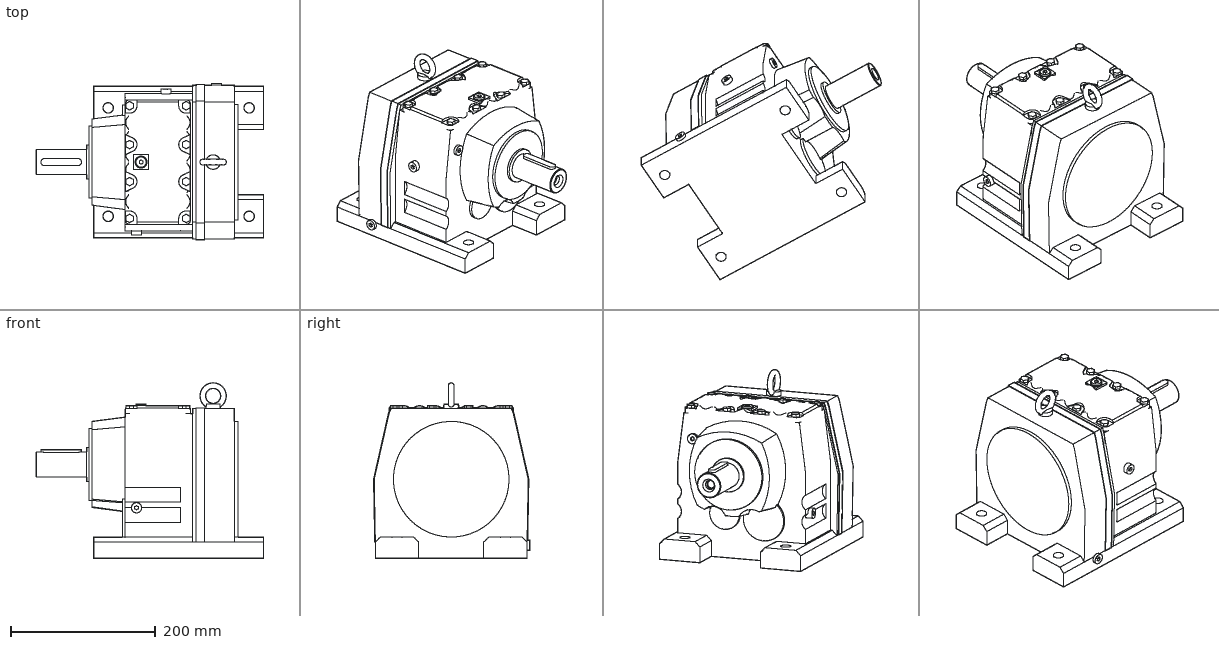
import math

import cadquery as cq


SHAFT_HEIGHT = 130.0
INPUT_HEIGHT = 109.5
FOOT_WIDTH = 210.0

FOOT_START = 10.0
FOOT_LENGTH = 235.0
FOOT_HEIGHT = 29.5
FOOT_PAD_WIDTH = 60.0
FOOT_CHAMFER = 7.0
FOOT_HOLE_DIAMETER = 14.0
FOOT_HOLE_FIRST = 30.0
FOOT_HOLE_PITCH_X = 195.0
FOOT_HOLE_PITCH_Y = 150.0

HOUSING_START = 53.5
COLLAR_START = 146.7
FLANGE_START = 151.6
FLANGE_END = 163.5
REAR_END = 204.5

HOUSING_HALF_WIDTH = 95.1
HOUSING_TOP = 200.3
TOP_HALF_WIDTH = 86.0
REAR_TOP = 207.4
REAR_TOP_HALF_WIDTH = 83.2
REAR_HALF_WIDTH = 106.5
REAR_FOOT_HALF_WIDTH = 104.5
FLANGE_PROUD = 1.0
INPUT_SPIGOT_RADIUS = 80.0
INPUT_SPIGOT_LENGTH = 5.2

GROOVE_RADIUS = 12.5
GROOVE_DEPTH = 5.4
GROOVE_LENGTH = 76.7
GROOVE_HEIGHTS = (88.0, 60.2)

SNOUT_START = 7.5
SNOUT_FRONT_CORNER = 48.0
SNOUT_FRONT_REACH = 59.6
SNOUT_REAR_CORNER = 52.0
SNOUT_REAR_REACH = 65.7
SPIGOT_START = 3.3
SPIGOT_RADIUS = 50.0
SEAL_RADIUS = 23.75

BEARING_COVERS = (
    (-34.1, 59.3, 30.0, 23.2),
    (23.9, 62.9, 22.0, 19.4),
)
BEARING_COVER_HEIGHT = 4.0

SHAFT_RADIUS = 17.5
SHAFT_LENGTH = 70.0
SHAFT_CHAMFER = 1.0
KEY_WIDTH = 10.0
KEY_HEIGHT = 8.0
KEY_LENGTH = 56.0
KEY_END_GAP = 7.0
KEY_TOP = 20.5
CENTRE_MOUTH_RADIUS = 9.0
CENTRE_NECK_RADIUS = 6.5
CENTRE_BORE_RADIUS = 5.1
CENTRE_NECK_DEPTH = 9.0
CENTRE_BORE_DEPTH = 30.0
CENTRE_CONE_HALF_ANGLE = 30.0
DRILL_POINT_HALF_ANGLE = 59.0

COVER_LENGTH = 90.4
COVER_TOP = 211.3
COVER_FILLET = 6.0
COVER_SIDE_CHAMFER = 3.0
RIB_PITCH = 21.84
RIB_DEPTH = 2.9
RIB_COUNT = 7
PAD_TOP = 207.4
PAD_RADIUS = 10.2
PAD_FLARE = 25.0
BOLT_INSET_X = 6.1
BOLT_HEAD_WIDTH = 10.3
CORNER_BOLT_ROWS = (77.9, -77.9)
MIDDLE_BOLT_ROWS = (24.2, -27.0)

PLUG_DIAMETER = 14.2
PLUG_HEIGHT = 6.0
PLUG_LOW_HEIGHT = 4.0
PLUG_ROOT = 12.0
PLUG_SOCKET = 5.0
PLUG_SOCKET_DEPTH = 3.0
DRAIN_X = 69.2
DRAIN_Z = 70.0
LEVEL_X = 109.9
REAR_PLUG_X = 180.0
REAR_PLUG_Z = 18.0
FRONT_PLUG_Y = 71.8
FRONT_PLUG_Z = 165.2
VENT_X = 75.5
VENT_PAD_SIZE = 21.0
VENT_RECESS_DIAMETER = 16.5
VENT_RECESS_DEPTH = 1.0
VENT_HEAD_HEIGHT = 2.0

EYE_X = 175.2
EYE_RING_RADIUS = 14.25
EYE_WIRE_RADIUS = 4.0
EYE_TOP = 243.0
EYE_SHANK_RADIUS = 10.0
EYE_SHANK_TOP = 213.5

UP = (0, 0, 1)


def across_corners(across_flats):
    """Corner-to-corner size of a hexagon."""
    return across_flats / math.cos(math.radians(30))


def box_between(x, y, z):
    """Box between the given (low, high) pairs."""
    size = [high - low for low, high in (x, y, z)]
    return cq.Workplane("XY").box(*size, centered=False).translate((x[0], y[0], z[0]))


def disc_x(x_start, x_end, radius, y=0.0, z=SHAFT_HEIGHT):
    """Cylinder along X."""
    plane = cq.Workplane("YZ", origin=(x_start, y, z))
    return plane.circle(radius).extrude(x_end - x_start)


def mirrored_section(x_start, x_end, half_outline):
    """Extrude along X an outline given by its +Y half, listed bottom to top."""
    other_half = [(-y, z) for y, z in reversed(half_outline)]
    plane = cq.Workplane("YZ", origin=(x_start, 0, 0))
    return plane.polyline(half_outline + other_half).close().extrude(x_end - x_start)


def make_feet():
    foot_end = FOOT_START + FOOT_LENGTH
    outer = FOOT_WIDTH / 2
    feet = cq.Workplane("XY")
    for outer_y in (-outer, outer):
        inner_y = outer_y - math.copysign(FOOT_PAD_WIDTH, outer_y)
        y_range = sorted((outer_y, inner_y))
        foot = box_between((FOOT_START, foot_end), y_range, (0, FOOT_HEIGHT))
        feet = feet.add(foot.edges("|X and >Z").chamfer(FOOT_CHAMFER))
    return feet.combine()


def make_foot_holes():
    centre_x = FOOT_HOLE_FIRST + FOOT_HOLE_PITCH_X / 2
    holes = cq.Workplane("XY", origin=(centre_x, 0, 0))
    holes = holes.rarray(FOOT_HOLE_PITCH_X, FOOT_HOLE_PITCH_Y, 2, 2)
    return holes.circle(FOOT_HOLE_DIAMETER / 2).extrude(FOOT_HEIGHT)


def make_front_housing():
    outline = [
        (HOUSING_HALF_WIDTH, 0),
        (HOUSING_HALF_WIDTH, SHAFT_HEIGHT),
        (TOP_HALF_WIDTH, HOUSING_TOP),
    ]
    housing = mirrored_section(HOUSING_START, COLLAR_START, outline)
    groove_end = HOUSING_START + GROOVE_LENGTH
    groove_axis = HOUSING_HALF_WIDTH - GROOVE_DEPTH + GROOVE_RADIUS
    for z in GROOVE_HEIGHTS:
        for y in (-groove_axis, groove_axis):
            housing = housing.cut(disc_x(HOUSING_START, groove_end, GROOVE_RADIUS, y, z))
    return housing


def make_rear_section(x_start, x_end, proud=0.0):
    outline = [
        (REAR_FOOT_HALF_WIDTH + proud, 0),
        (REAR_HALF_WIDTH + proud, INPUT_HEIGHT),
        (TOP_HALF_WIDTH + proud, HOUSING_TOP),
        (REAR_TOP_HALF_WIDTH + proud, REAR_TOP + proud),
    ]
    return mirrored_section(x_start, x_end, outline)


def make_rear_housing():
    housing = make_rear_section(COLLAR_START, REAR_END)
    flange = make_rear_section(FLANGE_START, FLANGE_END, FLANGE_PROUD)
    above_feet = box_between(
        (FLANGE_START, FLANGE_END),
        (-FOOT_WIDTH, FOOT_WIDTH),
        (FOOT_HEIGHT - FOOT_CHAMFER, EYE_TOP),
    )
    spigot = disc_x(REAR_END, REAR_END + INPUT_SPIGOT_LENGTH, INPUT_SPIGOT_RADIUS, z=INPUT_HEIGHT)
    return housing.union(flange.intersect(above_feet)).union(spigot)


def bulged_square(workplane, corner, reach):
    """Square with its sides bowed outward to the given reach."""
    return (
        workplane.moveTo(-corner, -corner)
        .threePointArc((0, -reach), (corner, -corner))
        .threePointArc((reach, 0), (corner, corner))
        .threePointArc((0, reach), (-corner, corner))
        .threePointArc((-reach, 0), (-corner, -corner))
        .close()
    )


def make_snout():
    plane = cq.Workplane("YZ", origin=(SNOUT_START, 0, SHAFT_HEIGHT))
    front = bulged_square(plane, SNOUT_FRONT_CORNER, SNOUT_FRONT_REACH)
    rear_plane = front.workplane(offset=HOUSING_START - SNOUT_START)
    snout = bulged_square(rear_plane, SNOUT_REAR_CORNER, SNOUT_REAR_REACH).loft(ruled=True)
    snout = snout.union(disc_x(SPIGOT_START, SNOUT_START, SPIGOT_RADIUS))
    cover_face = HOUSING_START - BEARING_COVER_HEIGHT
    for y, z, cover_radius, clearance_radius in BEARING_COVERS:
        snout = snout.cut(disc_x(SNOUT_START, cover_face, clearance_radius, y, z))
        snout = snout.union(disc_x(cover_face, HOUSING_START, cover_radius, y, z))
    return snout.union(disc_x(0, SPIGOT_START, SEAL_RADIUS))


def make_shaft():
    shaft = disc_x(-SHAFT_LENGTH, SPIGOT_START, SHAFT_RADIUS)
    shaft = shaft.faces("<X").chamfer(SHAFT_CHAMFER)
    key_centre = -KEY_END_GAP - KEY_LENGTH / 2
    key_plane = cq.Workplane("XY", origin=(key_centre, 0, SHAFT_HEIGHT + KEY_TOP))
    shaft = shaft.union(key_plane.slot2D(KEY_LENGTH, KEY_WIDTH).extrude(-KEY_HEIGHT))

    cone_drop = CENTRE_MOUTH_RADIUS - CENTRE_NECK_RADIUS
    cone_depth = cone_drop / math.tan(math.radians(CENTRE_CONE_HALF_ANGLE))
    point_depth = CENTRE_BORE_RADIUS / math.tan(math.radians(DRILL_POINT_HALF_ANGLE))
    half_section = [
        (0, 0),
        (0, CENTRE_MOUTH_RADIUS),
        (cone_depth, CENTRE_NECK_RADIUS),
        (CENTRE_NECK_DEPTH, CENTRE_NECK_RADIUS),
        (CENTRE_NECK_DEPTH, CENTRE_BORE_RADIUS),
        (CENTRE_BORE_DEPTH, CENTRE_BORE_RADIUS),
        (CENTRE_BORE_DEPTH + point_depth, 0),
    ]
    hole_plane = cq.Workplane("XY", origin=(-SHAFT_LENGTH, 0, SHAFT_HEIGHT))
    centre_hole = hole_plane.polyline(half_section).close().revolve(360, (0, 0, 0), (1, 0, 0))
    return shaft.cut(centre_hole)


def make_ribbed_trim():
    """Space above the wavy cover top: tangent arcs that meet at mid height."""
    quarter = RIB_PITCH / 4
    crest = COVER_TOP
    middle = COVER_TOP - RIB_DEPTH / 2
    valley = COVER_TOP - RIB_DEPTH
    radius = (quarter**2 + (RIB_DEPTH / 2) ** 2) / RIB_DEPTH
    shoulder = crest - radius + math.sqrt(radius**2 - (quarter / 2) ** 2)
    first_crest = -(RIB_COUNT - 1) / 2 * RIB_PITCH
    trim = cq.Workplane("YZ", origin=(HOUSING_START, 0, 0)).moveTo(first_crest, crest)
    for index in range(RIB_COUNT - 1):
        y = first_crest + index * RIB_PITCH
        trim = trim.threePointArc((y + 0.5 * quarter, shoulder), (y + quarter, middle))
        trim = trim.threePointArc((y + 2 * quarter, valley), (y + 3 * quarter, middle))
        trim = trim.threePointArc((y + 3.5 * quarter, shoulder), (y + 4 * quarter, crest))
    return trim.close().extrude(COVER_LENGTH)


def make_bolt_pad(x, y, to_edge):
    """Cutter for a bolt pad; to_edge is the X direction from bolt to cover end."""
    depth = COVER_TOP - PAD_TOP
    plane = cq.Workplane("XY", origin=(x, y, PAD_TOP))
    pad = plane.circle(PAD_RADIUS).extrude(depth)
    edge_x = to_edge * BOLT_INSET_X
    if y in CORNER_BOLT_ROWS:
        side_y = math.copysign(TOP_HALF_WIDTH, y) - y
        inner_y = -math.copysign(PAD_RADIUS, y)
        inner_x = -to_edge * PAD_RADIUS
        outline = [
            (edge_x, side_y),
            (inner_x, side_y),
            (inner_x, 0),
            (0, 0),
            (0, inner_y),
            (edge_x, inner_y),
        ]
    else:
        angle = math.radians(PAD_FLARE)
        tangent_x = -to_edge * PAD_RADIUS * math.sin(angle)
        tangent_y = PAD_RADIUS * math.cos(angle)
        edge_y = tangent_y + abs(edge_x - tangent_x) * math.tan(angle)
        outline = [
            (edge_x, edge_y),
            (tangent_x, tangent_y),
            (tangent_x, -tangent_y),
            (edge_x, -edge_y),
        ]
    return pad.union(plane.polyline(outline).close().extrude(depth))


def make_cover_shell():
    """Cover with chamfered long edges, rounded corners and rounded ends."""
    cover_end = HOUSING_START + COVER_LENGTH
    y_range = (-TOP_HALF_WIDTH, TOP_HALF_WIDTH)
    block = box_between((HOUSING_START, cover_end), y_range, (HOUSING_TOP, COVER_TOP))
    rounded_corners = block.edges("|Z").fillet(COVER_FILLET)
    rounded_ends = block.edges("|Y and >Z").fillet(COVER_FILLET)
    chamfered = block.edges("|X and >Z").chamfer(COVER_SIDE_CHAMFER)
    return chamfered.intersect(rounded_corners).intersect(rounded_ends)


def make_cover():
    cover = make_cover_shell().cut(make_ribbed_trim())
    half_pad = VENT_PAD_SIZE / 2
    vent_pad = box_between(
        (VENT_X - half_pad, VENT_X + half_pad), (-half_pad, half_pad), (HOUSING_TOP, COVER_TOP)
    )
    cover = cover.union(vent_pad)

    first_bolt = HOUSING_START + BOLT_INSET_X
    last_bolt = HOUSING_START + COVER_LENGTH - BOLT_INSET_X
    for x, to_edge in ((first_bolt, -1), (last_bolt, 1)):
        for y in CORNER_BOLT_ROWS + MIDDLE_BOLT_ROWS:
            cover = cover.cut(make_bolt_pad(x, y, to_edge))
            plane = cq.Plane(origin=(x, y, HOUSING_TOP), xDir=(0, 1, 0), normal=(0, 0, 1))
            head = cq.Workplane(plane).polygon(6, across_corners(BOLT_HEAD_WIDTH))
            cover = cover.union(head.extrude(COVER_TOP - HOUSING_TOP))
    return cover


def add_plug(body, face_centre, outward):
    """Add a socket-head plug whose outer face is at face_centre."""
    socket_corner = (0, 1, 0) if outward == UP else UP
    plane = cq.Plane(origin=face_centre, xDir=socket_corner, normal=outward)
    head = cq.Workplane(plane).circle(PLUG_DIAMETER / 2).extrude(-PLUG_ROOT)
    socket = cq.Workplane(plane).polygon(6, across_corners(PLUG_SOCKET)).extrude(-PLUG_SOCKET_DEPTH)
    return body.union(head).cut(socket)


def add_plugs(body):
    side_face = HOUSING_HALF_WIDTH + PLUG_HEIGHT
    low_face = FOOT_WIDTH / 2 + PLUG_LOW_HEIGHT
    front_face = HOUSING_START - PLUG_LOW_HEIGHT
    body = add_plug(body, (DRAIN_X, -side_face, DRAIN_Z), (0, -1, 0))
    body = add_plug(body, (LEVEL_X, side_face, SHAFT_HEIGHT), (0, 1, 0))
    body = add_plug(body, (REAR_PLUG_X, low_face, REAR_PLUG_Z), (0, 1, 0))
    body = add_plug(body, (front_face, FRONT_PLUG_Y, FRONT_PLUG_Z), (-1, 0, 0))

    vent_plane = cq.Workplane("XY", origin=(VENT_X, 0, COVER_TOP))
    body = body.cut(vent_plane.circle(VENT_RECESS_DIAMETER / 2).extrude(-VENT_RECESS_DEPTH))
    return add_plug(body, (VENT_X, 0, COVER_TOP + VENT_HEAD_HEIGHT), UP)


def make_eye_bolt():
    ring_z = EYE_TOP - EYE_RING_RADIUS - EYE_WIRE_RADIUS
    wire = cq.Workplane("XY", origin=(EYE_X + EYE_RING_RADIUS, 0, ring_z)).circle(EYE_WIRE_RADIUS)
    ring = wire.revolve(360, (-EYE_RING_RADIUS, 0, 0), (-EYE_RING_RADIUS, 1, 0))
    shank = cq.Workplane("XY", origin=(EYE_X, 0, REAR_TOP)).circle(EYE_SHANK_RADIUS)
    return shank.extrude(EYE_SHANK_TOP - REAR_TOP).union(ring)


body = make_feet().union(make_front_housing()).union(make_rear_housing())
body = body.cut(make_foot_holes())
body = body.union(make_snout()).union(make_shaft())
body = body.union(make_cover()).union(make_eye_bolt())
result = add_plugs(body)